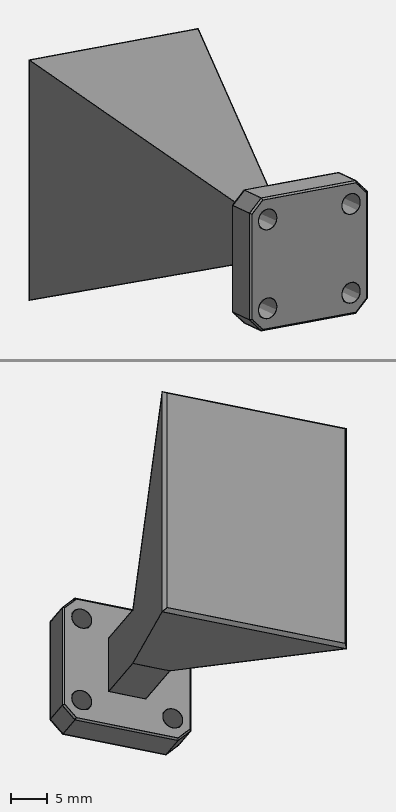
import cadquery as cq

total_length = 50.8
flare_length = 37.35
flange_thickness = 4.9
flange_start = total_length - flange_thickness

mouth_width = 27.65
mouth_height = 34.8
rim_chamfer = 0.65

neck_width = 5.5
neck_height = 8.35

flange_size = 19.0
flange_corner_chamfer = 1.9
flange_edge_chamfer = 0.25

hole_diameter = 2.95
hole_spacing_y = 13.45
hole_spacing_z = 12.7


def section(x):
    """Workplane facing +X at distance x, with local axes along Y and Z."""
    return cq.Workplane("YZ", origin=(x, 0, 0))


def make_flare():
    flare = (
        section(0)
        .rect(mouth_width, mouth_height)
        .workplane(offset=flare_length)
        .rect(neck_width, neck_height)
        .loft(ruled=True)
    )
    return flare.faces("<X").edges().chamfer(rim_chamfer)


def make_neck():
    neck_length = flange_start - flare_length
    return section(flare_length).rect(neck_width, neck_height).extrude(neck_length)


def make_flange():
    block = section(flange_start).rect(flange_size, flange_size).extrude(flange_thickness)
    block = block.edges("|X").chamfer(flange_corner_chamfer)
    block = block.faces("<X or >X").edges().chamfer(flange_edge_chamfer)
    holes = (
        section(flange_start)
        .rect(hole_spacing_y, hole_spacing_z, forConstruction=True)
        .vertices()
        .circle(hole_diameter / 2)
        .extrude(flange_thickness)
    )
    return block.cut(holes)


result = make_flare().union(make_neck()).union(make_flange())